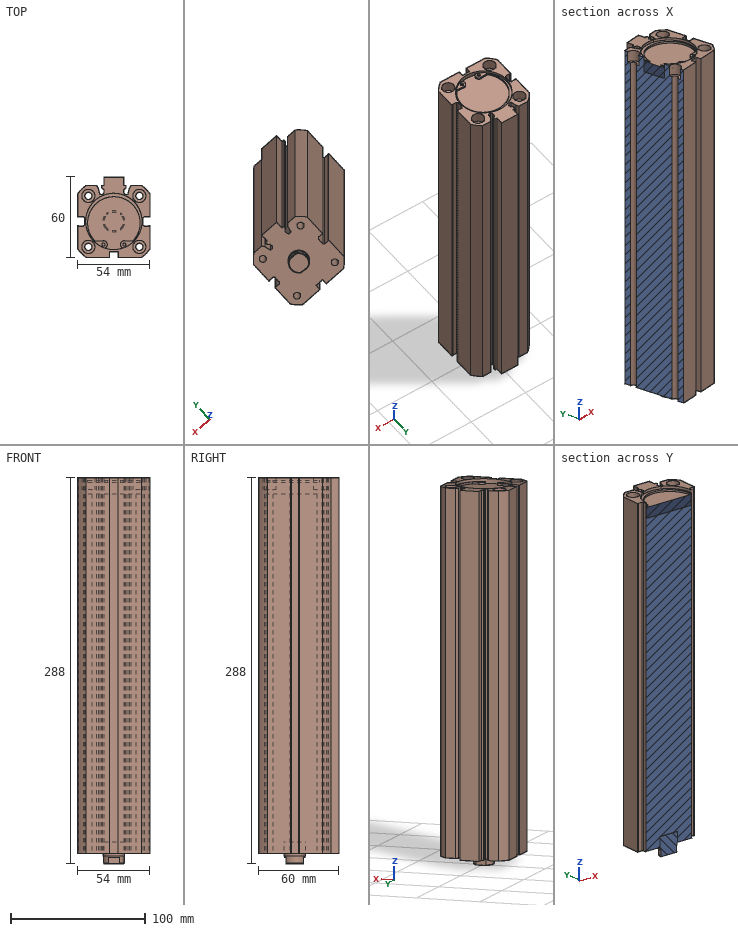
import cadquery as cq
import math


housing_width = 54.0
overall_depth = 60.0
overall_length = 288.0
rail_projection = 6.0
rod_protrusion = 7.8
housing_depth = overall_depth - rail_projection
housing_length = overall_length - rod_protrusion
half_width = housing_width / 2
half_depth = housing_depth / 2
corner_flat = 20.7
corner_radius = math.hypot(half_depth, corner_flat)

side_slot_mouth = 3.2
side_slot_throat = 3.5
side_slot_base = 2.5
side_slot_lip = 1.0
side_slot_floor = 22.0
front_slot_half_width = 3.2
front_slot_floor = 22.8

rail_half_width = 7.5
rail_top = half_depth + rail_projection
rail_lip_half_width = 9.2
rail_lip_bottom = 25.0
rail_waist_top = 23.5
rail_waist_bottom = 21.3
channel_floor = 20.2
channel_floor_inner = 8.4
channel_floor_outer = 10.5
channel_throat = 11.5
channel_throat_y = 24.8
channel_mouth = 13.0

screw_spacing = 38.0
screw_hole_radius = 2.5
counterbore_radius = 5.0
counterbore_depth = 8.5

bore_radius = 21.0
ring_recess = 2.0
ring_thickness = 1.5
ring_inner_radius = 19.5
ring_inner_offset = -1.2
ring_eye_x = 7.8
ring_eye_y = -17.3
ring_eye_hole_radius = 1.2
ring_lug_radius = 3.0
ring_lug_outer_x = 15.0
ring_lug_top_y = -14.7
cap_thickness = 8.5
ring_top = housing_length - ring_recess
cap_top = ring_top - ring_thickness
cap_bottom = cap_top - cap_thickness

rod_radius = 8.0
rod_step_height = 2.0
rod_tip_radius = 7.8
rod_tip_chamfer = 0.5
rod_flat_distance = 6.5
rod_flat_start = 3.0
rod_socket_depth = 8.5


def cylinder(radius, bottom, top, center=(0, 0)):
    return cq.Workplane("XY").workplane(offset=bottom).center(*center).circle(radius).extrude(top - bottom)


def block(x_min, x_max, y_min, y_max, bottom, top):
    size = (x_max - x_min, y_max - y_min, top - bottom)
    return cq.Workplane("XY").box(*size, centered=False).translate((x_min, y_min, bottom))


def full_length_prism(points, side):
    """Prism along the whole housing, on the +X side (side = 1) or mirrored to the -X side (side = -1)."""
    outline = [(side * x, y) for x, y in points]
    return cq.Workplane("XY").polyline(outline).close().extrude(housing_length)


def sensor_channel(side):
    """Channel between the rail and the housing corner, undercut below the rail lip."""
    return full_length_prism([
        (rail_lip_half_width, half_depth),
        (rail_lip_half_width, rail_lip_bottom),
        (rail_half_width, rail_waist_top),
        (rail_half_width, rail_waist_bottom),
        (channel_floor_inner, channel_floor),
        (channel_floor_outer, channel_floor),
        (channel_throat, channel_throat_y),
        (channel_mouth, half_depth),
    ], side)


def side_slot(side):
    """Slot with a slightly narrower mouth and chamfered floor corners."""
    lip_inner = half_width - side_slot_lip
    floor_chamfer = side_slot_throat - side_slot_base
    upper_edge = [
        (half_width, side_slot_mouth),
        (lip_inner, side_slot_mouth),
        (lip_inner, side_slot_throat),
        (side_slot_floor + floor_chamfer, side_slot_throat),
        (side_slot_floor, side_slot_base),
    ]
    lower_edge = [(x, -y) for x, y in reversed(upper_edge)]
    return full_length_prism(upper_edge + lower_edge, side)


def make_housing():
    body = cq.Workplane("XY").rect(housing_width, housing_depth).extrude(housing_length)
    body = body.intersect(cylinder(corner_radius, 0, housing_length))
    body = body.union(block(-rail_half_width, rail_half_width, channel_floor, rail_top, 0, housing_length))
    for side in (1, -1):
        body = body.cut(sensor_channel(side))
        body = body.cut(side_slot(side))
    body = body.cut(block(
        -front_slot_half_width, front_slot_half_width, -half_depth, -front_slot_floor, 0, housing_length
    ))
    body = (
        body.faces(">Z").workplane(origin=(0, 0, housing_length))
        .rect(screw_spacing, screw_spacing, forConstruction=True).vertices()
        .cboreHole(2 * screw_hole_radius, 2 * counterbore_radius, counterbore_depth)
    )
    body = body.cut(cylinder(bore_radius, cap_bottom, housing_length))
    return body.cut(cylinder(rod_radius, 0, rod_socket_depth))


def make_ring():
    """Open retaining ring with an eccentric inner edge and a pierced lug at each end."""
    bore_disc = cylinder(bore_radius, cap_top, ring_top)
    ring = bore_disc.cut(cylinder(ring_inner_radius, cap_top, ring_top, (0, ring_inner_offset)))
    ring = ring.cut(block(-ring_eye_x, ring_eye_x, -bore_radius, ring_eye_y, cap_top, ring_top))
    for side in (1, -1):
        eye = (side * ring_eye_x, ring_eye_y)
        x_min, x_max = sorted((side * ring_eye_x, side * ring_lug_outer_x))
        lug = block(x_min, x_max, -bore_radius, ring_lug_top_y, cap_top, ring_top)
        lug = lug.union(cylinder(ring_lug_radius, cap_top, ring_top, eye))
        ring = ring.union(lug.intersect(bore_disc))
        ring = ring.cut(cylinder(ring_eye_hole_radius, cap_top, ring_top, eye))
    return ring


def make_cap():
    return cylinder(bore_radius, cap_bottom, cap_top)


def make_rod():
    """Rod with a smaller tip that has a wrench flat on its -Y and +Y sides."""
    tip = cylinder(rod_tip_radius, -rod_protrusion, 0).faces("<Z").chamfer(rod_tip_chamfer)
    flat_zone = cylinder(rod_tip_radius, -rod_protrusion, -rod_flat_start)
    kept_core = block(
        -rod_tip_radius, rod_tip_radius, -rod_flat_distance, rod_flat_distance, -rod_protrusion, 0
    )
    tip = tip.cut(flat_zone.cut(kept_core))
    return tip.union(cylinder(rod_radius, -rod_step_height, rod_socket_depth))


housing = make_housing()
ring = make_ring()
cap = make_cap()
rod = make_rod()
result = cq.Compound.makeCompound([housing.val(), ring.val(), cap.val(), rod.val()])